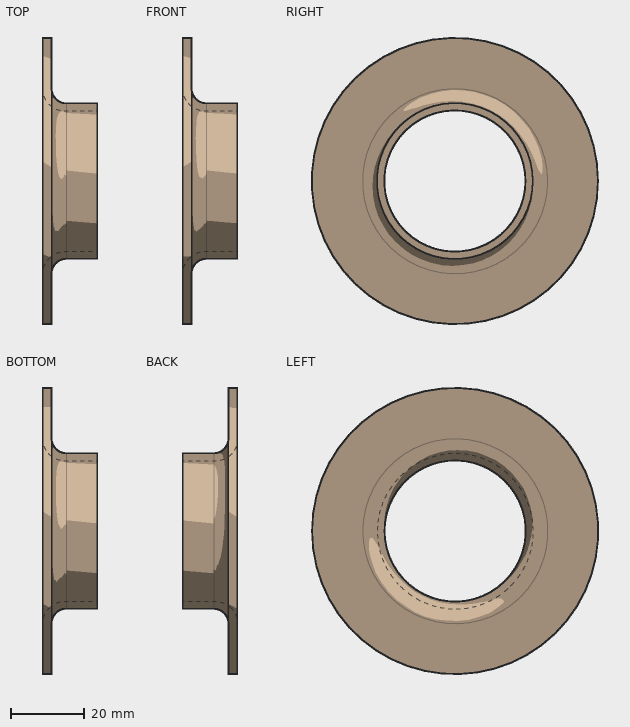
import cadquery as cq

flange_diameter = 78.0
flange_thickness = 2.5
tube_diameter = 42.4
bore_diameter = 38.4
overall_length = 15.0
outer_neck_radius = 4.0
bore_mouth_radius = 6.0


def disc(diameter, length):
    """Cylinder about the X axis, from the flange face at x = 0 toward +X."""
    return cq.Workplane("YZ").circle(diameter / 2).extrude(length)


def circular_edge(x, diameter):
    """Selector for the circular edge of the given diameter at position x."""
    margin = 0.1
    reach = diameter / 2 + margin
    low_corner = (x - margin, -reach, -reach)
    high_corner = (x + margin, reach, reach)
    return cq.selectors.BoxSelector(low_corner, high_corner, boundingbox=True)


body = disc(flange_diameter, flange_thickness).union(disc(tube_diameter, overall_length))
body = body.edges(circular_edge(flange_thickness, tube_diameter)).fillet(outer_neck_radius)

body = body.cut(disc(bore_diameter, overall_length))
result = body.edges(circular_edge(0, bore_diameter)).fillet(bore_mouth_radius)